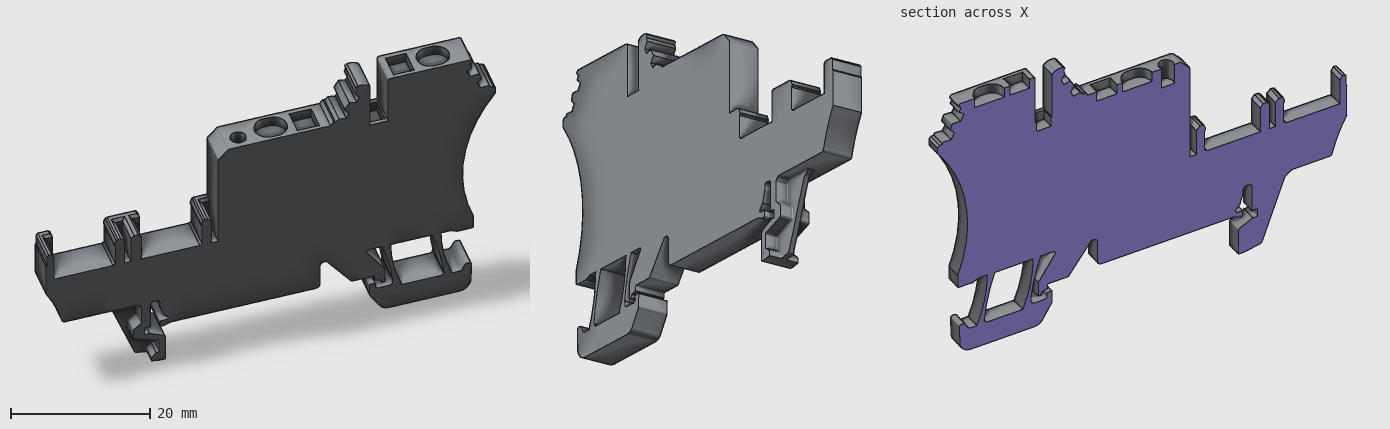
import cadquery as cq
import math

WIDTH = 5.0
LENGTH = 68.05
HEIGHT = 45.05

HALF_WIDTH = WIDTH / 2
BACK = LENGTH / 2
FRONT = -LENGTH / 2
TOP = HEIGHT / 2
BOTTOM = -HEIGHT / 2

SHOULDER = 15.9
LEDGE = 3.2
COMB_FLOOR = -1.7
UNDERSIDE = -10.6
BELLY = -15.45
FOOT_TOP = -18.6

GROOVE_STEP_Y = 1.55
GROOVE_STEP_Z = 2.7

GRIP_RADIUS = 23.8
GRIP_DEEPEST_Y = 29.05
GRIP_CENTRE_Z = 0.35

SLOT_BACK = 17.75
SLOT_FRONT = 15.05
SLOT_FLOOR = 14.3

WELL_DEPTH = 1.6
WELL_WIDTH = 3.7
WELL_OFFSET_X = 0.1
SCREW_WELL_LENGTH = 4.8
SCREW_WELL_WIDTH = 3.95
TEST_HOLE_DIAMETER = 2.3
TEST_HOLE_DEPTH = 3.4
TEST_HOLE_X = 0.55
TEST_HOLE_Y = -4.3

HOUSING_FRONT = -7.95
POST_FRONT = -10.4
TOOTH_PITCH = 13.1
COMB_WALL = 0.7
COMB_WALL_BEVEL = 0.4
MIDDLE_POST_BACK = -18.6
MIDDLE_POST_FRONT = POST_FRONT - TOOTH_PITCH
END_POST_BACK = -31.8
WALL_CORNER = 0.3
PLATE_INSET = 1.0
PLATE_BEVEL_Z = 0.6
SNAP_PLATE_THICKNESS = 1.4
SNAP_RIDGE = 0.15
BACK_PLATE_THICKNESS = 1.55
BACK_PLATE_BEVEL_Y = 0.5
END_PLATE_SETBACK = 0.15

COMB_ROOT = COMB_FLOOR - 0.7
WALL_SETBACK = 0.4

LEG_PITCH = 7.6
LEG_TOP = -10.2
LEG_ROOT = LEG_TOP + 0.35

RIB_THICKNESS = 0.8
RIB_FILLET = 0.3


def rounded_outline(points):
    """Closed YZ outline; a third number in a point is the radius of that corner."""
    count = len(points)
    ends = []
    for i in range(count):
        y, z = points[i][:2]
        radius = points[i][2] if len(points[i]) == 3 else 0
        if radius == 0:
            ends.append([(y, z)])
            continue
        corner = cq.Vector(y, z)
        before = (cq.Vector(*points[i - 1][:2]) - corner).normalized()
        after = (cq.Vector(*points[(i + 1) % count][:2]) - corner).normalized()
        half_angle = before.getAngle(after) / 2
        setback = radius / math.tan(half_angle)
        bisector = (before + after).normalized()
        middle = corner + bisector * (radius / math.sin(half_angle) - radius)
        first = corner + before * setback
        last = corner + after * setback
        ends.append([(p.x, p.y) for p in (first, middle, last)])

    outline = cq.Workplane("YZ").moveTo(*ends[0][-1])
    for corner_points in ends[1:] + ends[:1]:
        outline = outline.lineTo(*corner_points[0])
        if len(corner_points) == 3:
            outline = outline.threePointArc(*corner_points[1:])
    return outline.close()


def across(points):
    """Prism through the whole width of the part."""
    return rounded_outline(points).extrude(HALF_WIDTH, both=True)


def box(x_range, y_range, z_range):
    """Box filling the given (low, high) ranges."""
    sizes = [high - low for low, high in (x_range, y_range, z_range)]
    corner = (x_range[0], y_range[0], z_range[0])
    return cq.Workplane("XY").box(*sizes, centered=False).translate(corner)


def back_flank():
    """Marker grooves from the grip up to the top of the tower."""
    lower = [(BACK, 15.0), (BACK, SHOULDER), (33.7, 16.25), (33.2, 16.3)]
    upper = [(31.9, 18.4, 0.2)]
    points = []
    for i, rim in ((1, lower), (0, upper)):
        dy = i * GROOVE_STEP_Y
        dz = -i * GROOVE_STEP_Z
        points += rim + [
            (31.6 + dy, 19.4 + dz, 0.3),
            (30.2 + dy, 19.3 + dz),
            (29.7 + dy, 20.35 + dz),
        ]
    return points + [(30.5, 21.0), (30.15, 21.65), (30.55, 22.05), (30.55, TOP, 0.44)]


def front_flank():
    """Marker grooves from the top of the tower down to the shoulder."""
    points = [
        (SLOT_FRONT, 21.9),
        (14.4, TOP, 1.6),
        (13.2, TOP),
        (12.85, 22.25),
        (13.0, 21.8),
    ]
    for i in range(2):
        dy = -i * GROOVE_STEP_Y
        dz = -i * GROOVE_STEP_Z
        points += [
            (12.8 + dy, 21.15 + dz),
            (13.4 + dy, 20.2 + dz),
            (13.0 + dy, 19.4 + dz),
            (11.9 + dy, 19.6 + dz),
        ]
    return points + [(9.8, 16.4), (9.5, 16.55), (9.05, SHOULDER)]


def hook():
    """Fixed rail hook on the underside, from its root at the back to the belly."""
    return [
        (14.2, LEG_TOP, 0.3),
        (17.3, -14.7),
        (17.3, -17.2),
        (16.75, -17.2),
        (16.7, -16.75),
        (15.7, -16.5),
        (15.7, -15.65, 0.2),
        (12.25, -15.65, 0.3),
        (8.45, UNDERSIDE, 0.3),
        (7.5, UNDERSIDE, 0.55),
        (7.5, BELLY, 0.8),
    ]


def clip():
    """Latch nose, relief slit and clip arm, from the belly to the front underside."""
    return [
        (-15.2, BELLY),
        (-16.3, -15.85, 0.2),
        (-16.75, -15.8, 0.15),
        (-16.75, -14.8, 0.2),
        (-15.45, -14.8, 0.3),
        (-15.6, -14.3),
        (-16.25, -13.55),
        (-16.8, -11.7),
        (-16.8, UNDERSIDE, 0.55),
        (-18.25, UNDERSIDE, 0.55),
        (-18.25, BELLY),
        (-19.1, BELLY, 0.2),
        (-19.1, -16.75, 0.2),
        (-18.4, -16.75),
        (-15.9, -17.9, 0.7),
        (-15.9, -22.45, 0.2),
        (-16.9, -22.45),
        (-19.9, -21.9, 0.6),
        (-23.75, -11.4, 0.4),
        (-24.9, UNDERSIDE),
    ]


def housing():
    """Main body with tower, slot, grip, hook and clip."""
    outline = [
        *back_flank(),
        (SLOT_BACK, TOP, 0.4),
        (SLOT_BACK, SLOT_FLOOR),
        (SLOT_FRONT, SLOT_FLOOR),
        *front_flank(),
        (-6.4, SHOULDER, 0.55),
        (HOUSING_FRONT, SLOT_FLOOR, 0.55),
        (HOUSING_FRONT, COMB_FLOOR),
        (FRONT, COMB_FLOOR),
        (FRONT, -4.3),
        (-32.45, -7.1, 24.5),
        (-31.5, UNDERSIDE, 0.5),
        *reversed(clip()),
        *reversed(hook()),
        (27.3, LEG_TOP),
        (28.2, UNDERSIDE),
        (30.7, UNDERSIDE, 0.3),
        (30.7, -8.3),
        (BACK, -8.3),
    ]
    grip = (
        cq.Workplane("YZ")
        .center(GRIP_DEEPEST_Y + GRIP_RADIUS, GRIP_CENTRE_Z)
        .circle(GRIP_RADIUS)
        .extrude(HALF_WIDTH, both=True)
    )
    return across(outline).cut(grip)


def leg(shift):
    """Curved spring leg between the housing and the foot."""
    return (
        cq.Workplane("YZ")
        .moveTo(25.8 + shift, LEG_ROOT)
        .threePointArc((26.1 + shift, -13.95), (27.5 + shift, FOOT_TOP))
        .lineTo(26.3 + shift, FOOT_TOP)
        .threePointArc((25.6 + shift, -14.2), (24.35 + shift, LEG_ROOT))
        .close()
        .extrude(HALF_WIDTH, both=True)
    )


def foot():
    """Foot bar with a rail cup, hung from two spring legs."""
    fillet_top = FOOT_TOP + 0.5
    bar = across([
        (30.4, -17.35, 0.4),
        (29.5, -17.35, 0.4),
        (28.8, FOOT_TOP, 0.35),
        (26.55, FOOT_TOP),
        (26.55, fillet_top),
        (26.1, fillet_top),
        (26.1, FOOT_TOP, 0.4),
        (19.05, FOOT_TOP),
        (19.05, -17.15),
        (18.45, -17.15),
        (18.45, -18.2, 0.55),
        (15.85, -18.2, 0.5),
        (15.85, -17.1, 0.2),
        (14.9, -17.1, 0.3),
        (15.0, -19.25, 1.0),
        (17.0, BOTTOM, 1.7),
        (30.3, BOTTOM, 1.9),
    ])
    return bar.union(leg(0)).union(leg(-LEG_PITCH))


def comb_wall(back, front):
    """Thin wall on the -X side, its inner face stepping out below a bevel."""
    ridge = -HALF_WIDTH + COMB_WALL
    foot_x = ridge + COMB_WALL_BEVEL
    return (
        cq.Workplane("XZ", origin=(0, back, 0))
        .polyline([
            (-HALF_WIDTH, COMB_ROOT),
            (foot_x, COMB_ROOT),
            (foot_x, LEDGE - COMB_WALL_BEVEL),
            (ridge, LEDGE),
            (-HALF_WIDTH, LEDGE),
        ])
        .close()
        .extrude(back - front)
    )


def bevelled_wall(back, front):
    """Free-standing comb wall with its upper back corner cut off."""
    return comb_wall(back, front).faces(">Y").edges(">Z").chamfer(WALL_CORNER)


def snap_plate(front):
    """Cross plate with a snap ridge high on its front face."""
    back = front + SNAP_PLATE_THICKNESS
    return across([
        (back, COMB_ROOT),
        (back, LEDGE - PLATE_BEVEL_Z),
        (front + 0.8, LEDGE),
        (front + 0.4, LEDGE),
        (front + 0.15, LEDGE - 0.15),
        (front - SNAP_RIDGE, LEDGE - 0.8),
        (front - SNAP_RIDGE, LEDGE - 1.0),
        (front, LEDGE - 1.2),
        (front, COMB_FLOOR + 0.3),
        (front - 0.35, COMB_FLOOR),
        (front - 0.35, COMB_ROOT),
    ])


def back_plate():
    """Cross plate bevelled on both sides at the back of the middle post."""
    back = MIDDLE_POST_BACK - PLATE_INSET
    front = back - BACK_PLATE_THICKNESS
    return across([
        (back, COMB_ROOT),
        (back, LEDGE - PLATE_BEVEL_Z),
        (back - BACK_PLATE_BEVEL_Y, LEDGE),
        (front + BACK_PLATE_BEVEL_Y, LEDGE),
        (front, LEDGE - 0.4),
        (front, COMB_ROOT),
    ])


def end_plate():
    """Cross plate closing the front end, set back slightly at its top."""
    back = END_POST_BACK - PLATE_INSET
    return across([
        (back, COMB_ROOT),
        (back, LEDGE - PLATE_BEVEL_Z),
        (back - 0.4, LEDGE),
        (FRONT + 0.4, LEDGE),
        (FRONT + END_PLATE_SETBACK, LEDGE - 0.35),
        (FRONT + END_PLATE_SETBACK, 1.3),
        (FRONT, 1.1),
        (FRONT, COMB_ROOT),
    ])


def comb():
    """The three comb posts, each a wall and its cross plates."""
    parts = [
        comb_wall(HOUSING_FRONT, POST_FRONT + WALL_SETBACK),
        snap_plate(POST_FRONT),
        bevelled_wall(MIDDLE_POST_BACK, MIDDLE_POST_FRONT + WALL_SETBACK),
        snap_plate(MIDDLE_POST_FRONT),
        back_plate(),
        bevelled_wall(END_POST_BACK, FRONT + WALL_SETBACK),
        end_plate(),
    ]
    teeth = parts[0]
    for part in parts[1:]:
        teeth = teeth.union(part)
    return teeth


def wire_well(back, front, level):
    """Rectangular well sunk from an upward face."""
    left = WELL_OFFSET_X - WELL_WIDTH / 2
    return box((left, left + WELL_WIDTH), (front, back), (level - WELL_DEPTH, level))


def screw_well(centre_y, level):
    """Well with rounded ends sunk from an upward face."""
    return (
        cq.Workplane("XY", origin=(0, centre_y, level))
        .slot2D(SCREW_WELL_LENGTH, SCREW_WELL_WIDTH, 90)
        .extrude(-WELL_DEPTH)
    )


def test_hole():
    """Small round hole beside the sloping corner of the shoulder."""
    return (
        cq.Workplane("XY", origin=(TEST_HOLE_X, TEST_HOLE_Y, SHOULDER))
        .circle(TEST_HOLE_DIAMETER / 2)
        .extrude(-TEST_HOLE_DEPTH)
    )


def rib_recess(side):
    """Space beside the thin rib of the clip, rounded where it meets the rib."""
    depth = HALF_WIDTH - RIB_THICKNESS / 2
    recess = rounded_outline([
        (-19.6, UNDERSIDE, 0.95),
        (-19.6, -14.35, 0.3),
        (-20.8, -15.4, 0.3),
        (-20.8, -17.1, 0.4),
        (-16.95, -18.5, 0.3),
        (-16.95, -20.75, 0.15),
        (-17.35, -20.9),
        (-18.0, -21.5, 0.4),
        (-18.0, BOTTOM),
        (-25.05, BOTTOM),
        (-25.05, UNDERSIDE),
    ]).extrude(depth)
    recess = recess.faces(">X").edges().fillet(RIB_FILLET)
    recess = recess.translate((-HALF_WIDTH, 0, 0))
    return recess if side < 0 else recess.mirror("YZ")


cutters = [
    wire_well(21.9, 18.8, TOP),
    wire_well(17.5, 15.2, SLOT_FLOOR),
    wire_well(7.55, 4.2, SHOULDER),
    screw_well(25.4, TOP),
    screw_well(0.8, SHOULDER),
    test_hole(),
    rib_recess(-1),
    rib_recess(1),
]

result = housing().union(foot()).union(comb())
for cutter in cutters:
    result = result.cut(cutter)